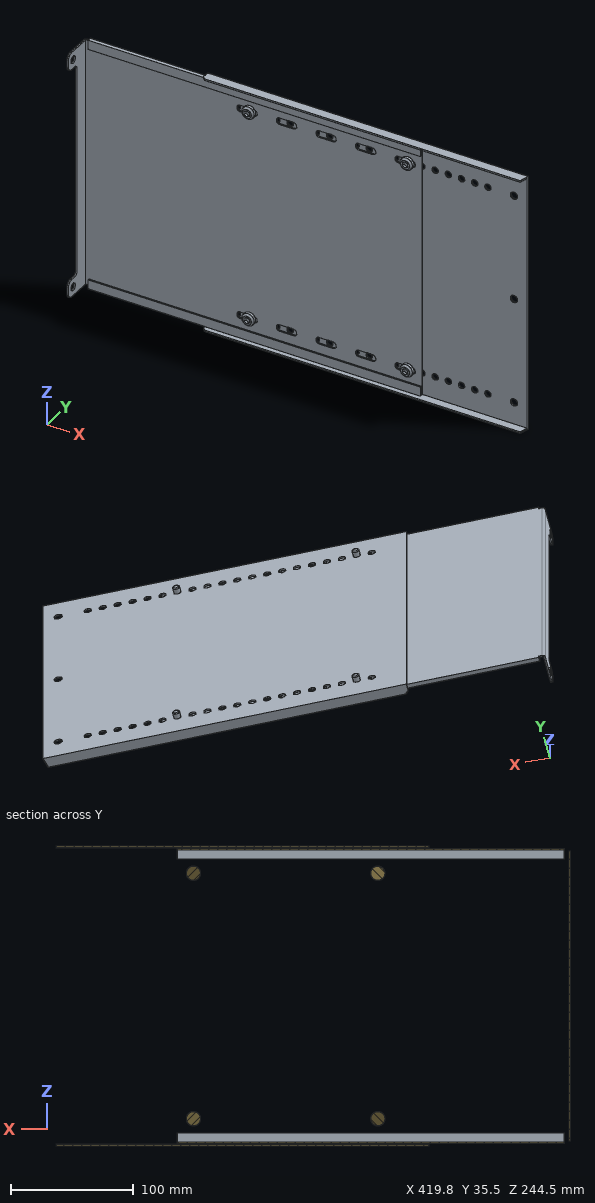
import cadquery as cq

LENGTH = 419.8
WIDTH = 244.5
DEPTH = 35.5
SHEET = 1.5
ROW_Z = 100.0
MOUNT_HOLE_DIA = 6.7

PLATE_LEFT = 115.5
PLATE_BACK = 30.2
FLANGE_DEPTH = 9.2
FLANGE_CHAMFER = 2.5
END_SLOPE = 2.5
HOLE_DIA = 6.0
HOLE_COUNT = 20
FIRST_HOLE_X = 144.5
LAST_HOLE_X = 382.0
HOLE_PITCH = (LAST_HOLE_X - FIRST_HOLE_X) / (HOLE_COUNT - 1)
MOUNT_HOLE_X = 406.7

TRAY_LENGTH = 320.3
HEM_START = 5.0
HEM_WIDTH = 9.0
HEM_DEPTH = 3.8
SIDE_GAP = 0.5
END_WALL_HEIGHT = 236.5
END_WALL_FRONT = 13.5
BEND_RADIUS = 2.0
TAB_HEIGHT = 16.8
TAB_CORNER_RADIUS = 5.0
TAB_ROOT_RADIUS = 3.5
TAB_HOLE_Y = 7.5
SLOT_COUNT = 5
SLOT_LENGTH = 19.5
SLOT_WIDTH = 6.5
FIRST_SLOT_X = 154.5
SLOT_PITCH = 3 * HOLE_PITCH

HEAD_DIA = 11.8
HEAD_HEIGHT = 4.0
HEAD_CHAMFER = 1.5
SOCKET_SIZE = 5.0
SOCKET_DEPTH = 2.5
TIP_CHAMFER = 1.0
SOCKET_SIDES = 6
SCREW_HOLES = (6, 18)

PLATE_FRONT = PLATE_BACK - SHEET
TRAY_BACK = PLATE_FRONT
TRAY_FRONT = TRAY_BACK - SHEET
TRAY_HALF_WIDTH = WIDTH / 2 - SHEET - SIDE_GAP
HEM_FRONT = TRAY_BACK - HEM_DEPTH
END_WALL_TOP = END_WALL_HEIGHT / 2
SIDES = (1, -1)


def box(x_range, y_range, z_range):
    """Axis-aligned box given by its limits along X, Y and Z."""
    size = [high - low for low, high in (x_range, y_range, z_range)]
    corner = (x_range[0], y_range[0], z_range[0])
    return cq.Workplane("XY").box(*size, centered=False).translate(corner)


def y_cylinder(x, z, diameter, y_start, y_end):
    """Cylinder along Y between two Y positions."""
    solid = cq.Solid.makeCylinder(
        diameter / 2, y_end - y_start, cq.Vector(x, y_start, z), cq.Vector(0, 1, 0)
    )
    return cq.Workplane(solid)


def hole_x(index):
    """X of a small plate hole, counted from the last hole towards -X."""
    return LAST_HOLE_X - index * HOLE_PITCH


def make_plate():
    flange_front = PLATE_BACK - FLANGE_DEPTH
    channel = (
        cq.Workplane("XY").workplane(offset=-WIDTH / 2)
        .moveTo(PLATE_LEFT, PLATE_BACK)
        .lineTo(LENGTH, PLATE_BACK)
        .lineTo(LENGTH - END_SLOPE, flange_front)
        .lineTo(PLATE_LEFT + FLANGE_CHAMFER, flange_front)
        .lineTo(PLATE_LEFT, flange_front + FLANGE_CHAMFER)
        .close()
        .extrude(WIDTH)
    )
    inner_half = WIDTH / 2 - SHEET
    plate = channel.cut(
        box((PLATE_LEFT, LENGTH), (flange_front, PLATE_FRONT), (-inner_half, inner_half))
    )
    for side in SIDES:
        for index in range(HOLE_COUNT):
            plate = plate.cut(
                y_cylinder(hole_x(index), side * ROW_Z, HOLE_DIA, PLATE_FRONT, PLATE_BACK)
            )
    for z in (-ROW_Z, 0, ROW_Z):
        plate = plate.cut(y_cylinder(MOUNT_HOLE_X, z, MOUNT_HOLE_DIA, PLATE_FRONT, PLATE_BACK))
    return plate


def make_end_wall():
    """Strip across the end at X = 0, with a holed and rounded tab at each end."""
    tab_inner = END_WALL_TOP - TAB_HEIGHT
    wall = box((0, SHEET), (END_WALL_FRONT, TRAY_BACK), (-END_WALL_TOP, END_WALL_TOP))
    for side in SIDES:
        z_range = sorted((side * END_WALL_TOP, side * tab_inner))
        tab = box((0, SHEET), (0, TRAY_FRONT), z_range).edges("|X and <Y").fillet(TAB_CORNER_RADIUS)
        tab_middle = side * (END_WALL_TOP - TAB_HEIGHT / 2)
        wall = wall.union(tab).cut(make_tab_hole(tab_middle))
    root_zone = cq.selectors.BoxSelector(
        (-SHEET, END_WALL_FRONT - SHEET, -tab_inner - SHEET),
        (2 * SHEET, END_WALL_FRONT + SHEET, tab_inner + SHEET),
    )
    return wall.edges("|X").edges(root_zone).fillet(TAB_ROOT_RADIUS)


def make_tab_hole(z):
    """Cylinder along X that cuts the hole of one tab."""
    hole = cq.Solid.makeCylinder(
        MOUNT_HOLE_DIA / 2, SHEET, cq.Vector(0, TAB_HOLE_Y, z), cq.Vector(1, 0, 0)
    )
    return cq.Workplane(hole)


def make_hem(side):
    """Side edge of the sheet folded square and back over its front face."""
    outer = side * TRAY_HALF_WIDTH
    wall = side * (TRAY_HALF_WIDTH - SHEET)
    inner = side * (TRAY_HALF_WIDTH - HEM_WIDTH)
    hem = box((HEM_START, TRAY_LENGTH), (HEM_FRONT, TRAY_BACK), sorted((inner, outer)))
    gap = box((HEM_START, TRAY_LENGTH), (HEM_FRONT + SHEET, TRAY_FRONT), sorted((inner, wall)))
    return hem.cut(gap)


def make_tray():
    sheet = box((0, TRAY_LENGTH), (TRAY_FRONT, TRAY_BACK), (-END_WALL_TOP, END_WALL_TOP))
    tray = sheet.union(make_end_wall())
    tray = tray.edges("|Z and <X and >Y").fillet(BEND_RADIUS)
    for side in SIDES:
        tray = tray.union(make_hem(side))
        slots = (
            cq.Workplane("XZ", origin=(0, TRAY_BACK, 0))
            .pushPoints([(FIRST_SLOT_X + i * SLOT_PITCH, side * ROW_Z) for i in range(SLOT_COUNT)])
            .slot2D(SLOT_LENGTH, SLOT_WIDTH)
            .extrude(SHEET)
        )
        tray = tray.cut(slots)
    return tray


def make_screw(x, z):
    shank = y_cylinder(x, z, HOLE_DIA, TRAY_FRONT, DEPTH).faces(">Y").chamfer(TIP_CHAMFER)
    head = y_cylinder(x, z, HEAD_DIA, TRAY_FRONT - HEAD_HEIGHT, TRAY_FRONT)
    head = head.faces("<Y").chamfer(HEAD_CHAMFER)
    socket = (
        cq.Workplane("XZ", origin=(x, TRAY_FRONT - HEAD_HEIGHT + SOCKET_DEPTH, z))
        .polygon(SOCKET_SIDES, SOCKET_SIZE, circumscribed=True)
        .extrude(SOCKET_DEPTH)
    )
    return shank.union(head).cut(socket)


plate = make_plate()
tray = make_tray()
screws = [
    make_screw(hole_x(index), side * ROW_Z)
    for side in SIDES
    for index in SCREW_HOLES
]

result = cq.Compound.makeCompound(
    [plate.val(), tray.val(), *[screw.val() for screw in screws]]
)